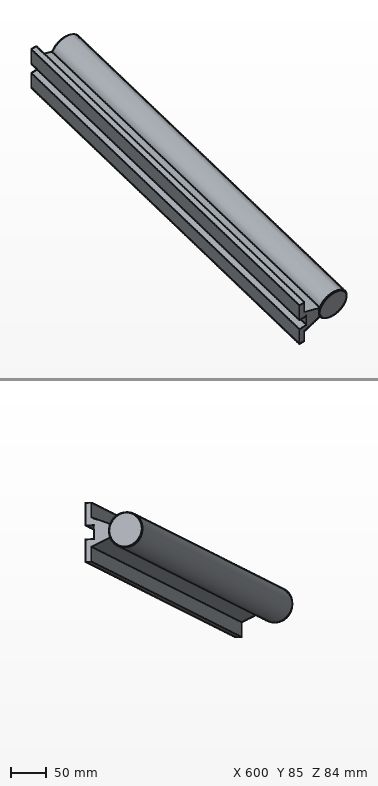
import cadquery as cq

shaft_length = 600.0
rail_length = 599.5
total_depth = 85.0
total_height = 84.0

shaft_diameter = 50.5
shaft_chamfer = 1.0
shaft_radius = shaft_diameter / 2

flange_thickness = 9.0
slot_width = 20.0
slot_depth = 12.5
web_root_width = 42.0
web_tip_width = 19.0

base_y = shaft_radius - total_depth
flange_back_y = base_y + flange_thickness
web_tip_y = -(shaft_radius**2 - (web_tip_width / 2) ** 2) ** 0.5


def make_shaft():
    """Round shaft with a small chamfer at each end."""
    shaft_blank = cq.Workplane("YZ").circle(shaft_radius).extrude(shaft_length)
    return shaft_blank.faces("<X or >X").edges().chamfer(shaft_chamfer)


def make_rail():
    """Flanged rail with a tapered web, a concave shaft seat and a slot in its base."""
    half_height = total_height / 2
    half_root = web_root_width / 2
    half_tip = web_tip_width / 2
    half_slot = slot_width / 2
    slot_floor_y = base_y + slot_depth
    return (
        cq.Workplane("YZ")
        .moveTo(web_tip_y, half_tip)
        .lineTo(flange_back_y, half_root)
        .lineTo(flange_back_y, half_height)
        .lineTo(base_y, half_height)
        .lineTo(base_y, half_slot)
        .lineTo(slot_floor_y, half_slot)
        .lineTo(slot_floor_y, -half_slot)
        .lineTo(base_y, -half_slot)
        .lineTo(base_y, -half_height)
        .lineTo(flange_back_y, -half_height)
        .lineTo(flange_back_y, -half_root)
        .lineTo(web_tip_y, -half_tip)
        .threePointArc((-shaft_radius, 0), (web_tip_y, half_tip))
        .close()
        .extrude(rail_length)
    )


shaft = make_shaft()
rail = make_rail()

result = cq.Compound.makeCompound([shaft.val(), rail.val()])